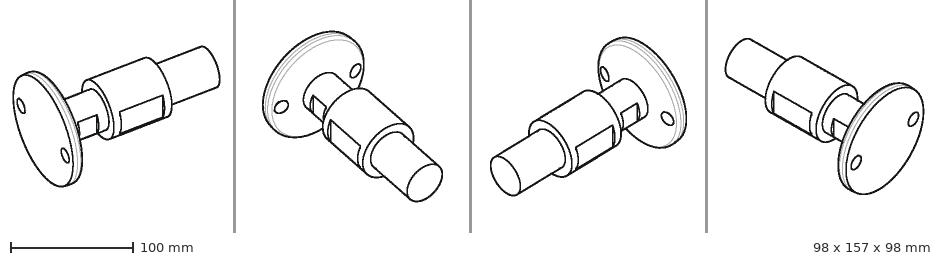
import cadquery as cq
import math

total_length = 157.0
shaft_radius = 36.0 / 2

foot_radius = 98.0 / 2
sole_radius = 48.5
taper_height = 3.8
cone_height = 14.8
cone_angle = 10.0
shoulder_fillet = 2.8

cone_slope = math.radians(cone_angle)
shoulder_sweep = math.pi / 2 - cone_slope
corner_height = cone_height - (foot_radius - shaft_radius) * math.tan(cone_slope)
rim_height = corner_height - shoulder_fillet * math.tan(shoulder_sweep / 2)
shoulder_center_radius = foot_radius - shoulder_fillet

hole_diameter = 12.5
hole_offset = 35.8
hole_tilt = cone_angle
hole_cut_length = 62.8

shaft_flat_start = 24.0
shaft_flat_length = 18.2
shaft_flat_width = 30.0

sleeve_radius = 52.0 / 2
sleeve_start = 52.0
sleeve_length = 55.0
sleeve_flat_length = 41.0
sleeve_flat_width = 46.2


def shoulder_point(angle):
    """Point on the shoulder arc at an angle in radians up from the outward radial direction."""
    return (
        shoulder_center_radius + shoulder_fillet * math.cos(angle),
        rim_height + shoulder_fillet * math.sin(angle),
    )


def cut_flats(body, radius, width, start, length):
    """Cut a pair of flats facing -X and +X, set width apart."""
    depth = radius - width / 2
    for side in (-1, 1):
        cutter = cq.Workplane("XY").box(depth, length, 2 * radius)
        body = body.cut(cutter.translate((side * (width + depth) / 2, start + length / 2, 0)))
    return body


def cut_tilted_holes(body):
    """Drill a hole on each side of the axis, leaning outward toward +Y."""
    for side in (-1, 1):
        drill = (
            cq.Workplane("XZ")
            .circle(hole_diameter / 2)
            .extrude(hole_cut_length / 2, both=True)
            .rotate((0, 0, 0), (0, 0, 1), -side * hole_tilt)
            .translate((side * hole_offset, 0, 0))
        )
        body = body.cut(drill)
    return body


def make_foot():
    """Foot disc and shaft as one turned body, with its holes and flats."""
    disc = (
        cq.Workplane("XY")
        .lineTo(sole_radius, 0)
        .lineTo(foot_radius, taper_height)
        .lineTo(foot_radius, rim_height)
        .threePointArc(shoulder_point(shoulder_sweep / 2), shoulder_point(shoulder_sweep))
        .lineTo(shaft_radius, cone_height)
        .lineTo(0, cone_height)
        .close()
        .revolve(360, (0, 0, 0), (0, 1, 0))
    )
    disc = cut_tilted_holes(disc)
    shaft = cq.Workplane("XZ").circle(shaft_radius).extrude(-total_length)
    shaft = cut_flats(shaft, shaft_radius, shaft_flat_width, shaft_flat_start, shaft_flat_length)
    return disc.union(shaft)


def make_sleeve():
    """Ring around the shaft with a central pair of flats."""
    ring = (
        cq.Workplane("XZ", origin=(0, sleeve_start, 0))
        .circle(sleeve_radius)
        .circle(shaft_radius)
        .extrude(-sleeve_length)
    )
    flat_start = sleeve_start + (sleeve_length - sleeve_flat_length) / 2
    return cut_flats(ring, sleeve_radius, sleeve_flat_width, flat_start, sleeve_flat_length)


foot = make_foot()
sleeve = make_sleeve()

result = cq.Compound.makeCompound([foot.val(), sleeve.val()])